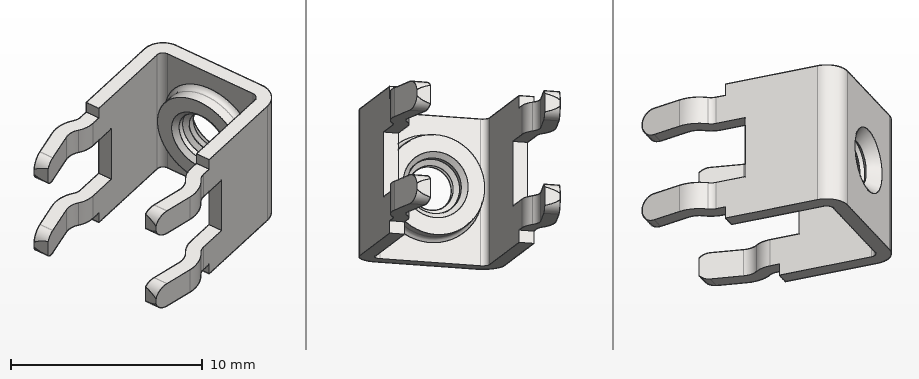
import cadquery as cq
import math

sheet = 0.813
body_width = 7.87
body_height = 7.87
span_over_legs = 8.89
overall_depth = 11.17
half_width = body_width / 2

corner_inner_radius = 0.38
corner_outer_radius = corner_inner_radius + sheet

shoulder_depth = 6.43
window_depth = 5.31
leg_width = 1.545
leg_pitch = 5.01
tip_radius = leg_width / 2
tip_flat = 0.3

kink_depth = 6.955
kink_radius = 0.66
crest_radius = 1.81
tip_slope = math.radians(12)
crest_offset = (span_over_legs - body_width) / 2
kink_angle = math.acos(1 - crest_offset / (kink_radius + crest_radius))

boss_diameter = 5.35
boss_end = 1.79
flare_diameter = 5.77
flare_end = 1.2

ridge_diameter = 2.39
entry_diameter = 2.97
groove_diameter = 2.8
countersink_diameter = 3.54
countersink_depth = 0.27
entry_depth = 0.585
first_ridge_depth = 0.78
second_ridge_depth = 1.14
groove_depth = (first_ridge_depth + second_ridge_depth) / 2


def polar(center, radius, angle):
    """Point at a given radius and angle about a centre."""
    return (center[0] + radius * math.cos(angle), center[1] + radius * math.sin(angle))


def half_sheet():
    """Right half of the folded sheet at full height, before the legs are cut out."""
    corner = (half_width - corner_outer_radius, -corner_outer_radius)
    kink = (half_width + kink_radius, -kink_depth)
    crest = polar(kink, kink_radius + crest_radius, math.pi + kink_angle)
    kink_end = math.pi + kink_angle
    kink_middle = math.pi + kink_angle / 2
    crest_middle = (kink_angle - tip_slope) / 2
    crest_inner_radius = crest_radius - sheet
    kink_inner_radius = kink_radius + sheet

    outer_leg_start = polar(crest, crest_radius, -tip_slope)
    leg_length = (overall_depth + outer_leg_start[1]) / math.cos(tip_slope)
    leg_direction = -math.pi / 2 - tip_slope
    outer_tip = polar(outer_leg_start, leg_length, leg_direction)
    inner_tip = polar(outer_tip, sheet, math.pi - tip_slope)

    return (
        cq.Workplane("XY")
        .workplane(offset=-body_height / 2)
        .moveTo(0, 0)
        .lineTo(corner[0], 0)
        .threePointArc(polar(corner, corner_outer_radius, math.pi / 4), (half_width, corner[1]))
        .lineTo(half_width, -kink_depth)
        .threePointArc(polar(kink, kink_radius, kink_middle), polar(kink, kink_radius, kink_end))
        .threePointArc(polar(crest, crest_radius, crest_middle), outer_leg_start)
        .lineTo(*outer_tip)
        .lineTo(*inner_tip)
        .lineTo(*polar(crest, crest_inner_radius, -tip_slope))
        .threePointArc(
            polar(crest, crest_inner_radius, crest_middle),
            polar(crest, crest_inner_radius, kink_angle),
        )
        .threePointArc(
            polar(kink, kink_inner_radius, kink_middle),
            (half_width - sheet, -kink_depth),
        )
        .lineTo(half_width - sheet, corner[1])
        .threePointArc(polar(corner, corner_inner_radius, math.pi / 4), (corner[0], -sheet))
        .lineTo(0, -sheet)
        .close()
        .extrude(body_height)
    )


def side_outline():
    """Block with the side outline of the walls and rounded legs, wider than the part along X."""
    block_width = 2 * span_over_legs
    window_height = leg_pitch - leg_width
    walls = cq.Workplane("XY").box(block_width, shoulder_depth, body_height)
    walls = walls.translate((0, -shoulder_depth / 2, 0))
    notch = cq.Workplane("XY").box(block_width, overall_depth, window_height)
    outline = walls.cut(notch.translate((0, -window_depth - overall_depth / 2, 0)))

    tip_center = overall_depth - math.sqrt(tip_radius**2 - (tip_flat / 2) ** 2)
    leg_length = tip_center - window_depth
    for z in (-leg_pitch / 2, leg_pitch / 2):
        leg = cq.Workplane("XY").box(block_width, leg_length, leg_width)
        outline = outline.union(leg.translate((0, -window_depth - leg_length / 2, z)))
        tip = (
            cq.Workplane("YZ")
            .center(-tip_center, z)
            .circle(tip_radius)
            .extrude(block_width / 2, both=True)
        )
        outline = outline.union(tip)
    return outline


def revolve_about_hole(profile):
    """Turn a closed (radius, y) profile about the Y axis."""
    return profile.close().revolve(360, (0, 0, 0), (0, 1, 0))


def boss():
    """Round boss that flares out where it meets the back wall."""
    boss_radius = boss_diameter / 2
    flare_height = flare_end - sheet
    flare_width = (flare_diameter - boss_diameter) / 2
    flare_sweep = 2 * math.atan(flare_width / flare_height)
    flare_radius = flare_height / math.sin(flare_sweep)
    flare_center = (boss_radius + flare_radius, -flare_end)
    profile = (
        cq.Workplane("XY")
        .moveTo(0, -sheet / 2)
        .lineTo(flare_diameter / 2, -sheet / 2)
        .lineTo(flare_diameter / 2, -sheet)
        .threePointArc(
            polar(flare_center, flare_radius, math.pi - flare_sweep / 2),
            (boss_radius, -flare_end),
        )
        .lineTo(boss_radius, -boss_end)
        .lineTo(0, -boss_end)
    )
    return revolve_about_hole(profile)


def hole():
    """Countersunk hole narrowed by two ridges with a groove between, flaring open at the back."""
    stations = [
        (countersink_diameter, 0),
        (entry_diameter, countersink_depth),
        (entry_diameter, entry_depth),
        (ridge_diameter, first_ridge_depth),
        (groove_diameter, groove_depth),
        (ridge_diameter, second_ridge_depth),
        (countersink_diameter, boss_end),
    ]
    profile = cq.Workplane("XY").moveTo(0, -boss_end)
    for diameter, depth in stations:
        profile = profile.lineTo(diameter / 2, depth - boss_end)
    profile = profile.lineTo(0, 0)
    return revolve_about_hole(profile)


right_half = half_sheet()
folded_sheet = right_half.union(right_half.mirror("YZ"))
result = folded_sheet.intersect(side_outline()).union(boss()).cut(hole())